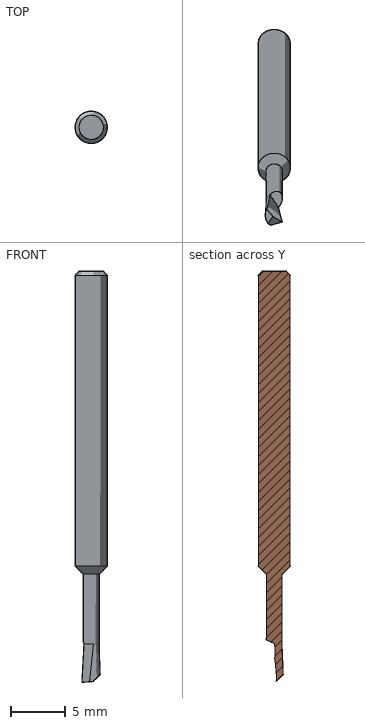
import cadquery as cq
import math

total_length = 38.0
shank_radius = 1.5
shank_chamfer = 0.38
shank_bottom = 10.75
neck_radius = 0.75
neck_top = shank_bottom - (shank_radius - neck_radius)

head_length = 3.57
tip_radius = 0.87
twist_angle = 27.0
flank_span = 79.0

end_rise = 0.08
corner_start_x = 0.15
corner_height = 0.75
cut_margin = 1.9


def polar_point(radius, angle):
    radians = math.radians(angle)
    return radius * math.cos(radians), radius * math.sin(radians)


def make_body():
    """Chamfered shank, conical shoulder and slender neck."""
    return (
        cq.Workplane("XZ")
        .moveTo(0, head_length)
        .lineTo(neck_radius, head_length)
        .lineTo(neck_radius, neck_top)
        .lineTo(shank_radius, shank_bottom)
        .lineTo(shank_radius, total_length - shank_chamfer)
        .lineTo(shank_radius - shank_chamfer, total_length)
        .lineTo(0, total_length)
        .close()
        .revolve(360, (0, 0, 0), (0, 1, 0))
    )


def make_head_section(radius, rake_angle, height):
    """Closed section with a diametral rake face, a flat flank and a round back."""
    rake_end = polar_point(radius, rake_angle)
    cutting_edge = polar_point(radius, rake_angle + 180)
    flank_end = polar_point(radius, rake_angle + 180 + flank_span)
    back_middle = polar_point(radius, rake_angle + 270 + flank_span / 2)
    return (
        cq.Workplane("XY", origin=(0, 0, height))
        .moveTo(*rake_end)
        .lineTo(*cutting_edge)
        .lineTo(*flank_end)
        .threePointArc(back_middle, rake_end)
        .close()
        .val()
    )


def make_head():
    """Ruled head between the neck and the tip sections."""
    neck_section = make_head_section(neck_radius, twist_angle, head_length)
    tip_section = make_head_section(tip_radius, 0, 0)
    return cq.Workplane(cq.Solid.makeLoft([tip_section, neck_section], True))


def make_runout():
    """45 degree wedge where the rake face runs out through the neck."""
    reach = neck_radius + cut_margin
    return (
        cq.Workplane("YZ")
        .moveTo(0, head_length)
        .lineTo(reach, head_length + reach)
        .lineTo(reach, head_length)
        .close()
        .extrude(cut_margin, both=True)
        .rotate((0, 0, 0), (0, 0, 1), twist_angle)
    )


def make_end_cut():
    """Slightly sloped end face followed by the bevelled +X corner."""
    corner_slope = (corner_height - end_rise) / (tip_radius - corner_start_x)
    far_x = tip_radius + cut_margin
    far_z = corner_height + cut_margin * corner_slope
    return (
        cq.Workplane("XZ")
        .moveTo(-tip_radius, 0)
        .lineTo(corner_start_x, end_rise)
        .lineTo(far_x, far_z)
        .lineTo(far_x, -cut_margin)
        .lineTo(-tip_radius, -cut_margin)
        .close()
        .extrude(cut_margin, both=True)
    )


neck_and_shank = make_body().cut(make_runout())
cutting_head = make_head().cut(make_end_cut())
result = neck_and_shank.union(cutting_head)